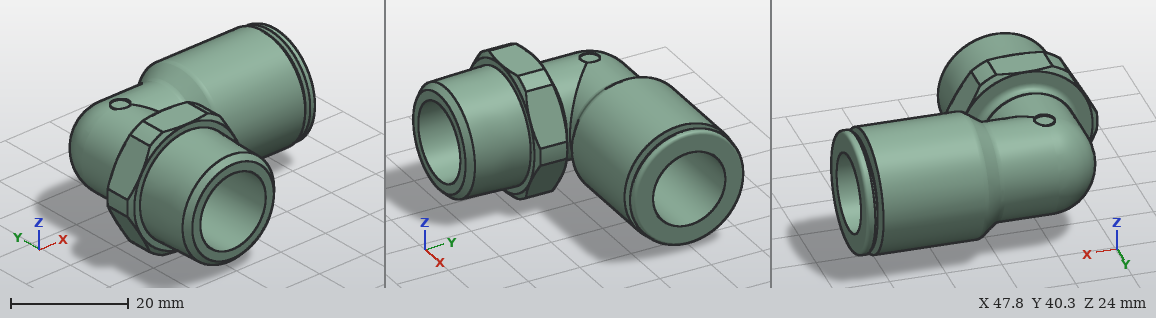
import cadquery as cq
import math


leg_axis = (0, 1, 0)
socket_axis = (1, 0, 0)

elbow_radius = 8.65
elbow_bore_radius = 7.05
elbow_leg_end = 9.25
joint_lead = 0.25
neck_radius = 8.55
neck_straight = 0.45

nut_start = 11.0
nut_length = 6.4
nut_across_flats = 24.0
nut_corner_radius = 13.0
nut_face_radius = 11.95
nut_chamfer_angle = 30.0

thread_base_radius = 10.65
thread_taper = 1 / 32
thread_end = 29.25
thread_chamfer_length = 1.2
thread_tip_radius = 9.2
thread_bore_radius = 7.35

sleeve_radius = 11.05
cone_start = 10.15
cone_end = 13.5
cone_blend_radius = 1.45
sleeve_end = 32.05

collar_neck_radius = 7.55
collar_radius = 10.75
collar_start = 32.85
collar_end = 34.8
collar_edge = 0.55

recess_radius = 1.75
recess_depth = 0.35

nut_end = nut_start + nut_length
nut_chamfer_length = (nut_corner_radius - nut_face_radius) * math.tan(math.radians(nut_chamfer_angle))
joint_end = elbow_leg_end + joint_lead


def make_elbow():
    """Round body: threaded-side leg with a domed end."""
    leg = cq.Workplane("XZ").circle(elbow_radius).extrude(elbow_leg_end)
    dome = cq.Workplane("XY").sphere(elbow_radius)
    return leg.union(dome)


def make_neck():
    """Joint cone, straight neck and the hollow flare that runs into the nut face."""
    flare_start = joint_end + neck_straight
    flare_radius = nut_start - flare_start
    flare_mid = flare_radius * math.sqrt(0.5)
    return (
        cq.Workplane("XY")
        .moveTo(0, -elbow_leg_end)
        .lineTo(elbow_radius, -elbow_leg_end)
        .lineTo(neck_radius, -joint_end)
        .lineTo(neck_radius, -flare_start)
        .threePointArc(
            (neck_radius + flare_radius - flare_mid, -flare_start - flare_mid),
            (neck_radius + flare_radius, -nut_start),
        )
        .lineTo(0, -nut_start)
        .close()
        .revolve(360, (0, 0, 0), leg_axis)
    )


def make_nut():
    """Hexagon with two corners on the X axis, turned down and chamfered on both faces."""
    across_corners = nut_across_flats / math.cos(math.pi / 6)
    hexagon = (
        cq.Workplane("XZ", origin=(0, -nut_start, 0))
        .polygon(6, across_corners)
        .extrude(nut_length)
    )
    turned_envelope = (
        cq.Workplane("XY")
        .polyline([
            (0, -nut_start),
            (nut_face_radius, -nut_start),
            (nut_corner_radius, -nut_start - nut_chamfer_length),
            (nut_corner_radius, -nut_end + nut_chamfer_length),
            (nut_face_radius, -nut_end),
            (0, -nut_end),
        ])
        .close()
        .revolve(360, (0, 0, 0), leg_axis)
    )
    return hexagon.intersect(turned_envelope)


def make_thread():
    """Plain tapered cone with a chamfered tip."""
    chamfer_start = thread_end - thread_chamfer_length
    chamfer_start_radius = thread_base_radius - thread_taper * (chamfer_start - nut_end)
    return (
        cq.Workplane("XY")
        .polyline([
            (0, -nut_end),
            (thread_base_radius, -nut_end),
            (chamfer_start_radius, -chamfer_start),
            (thread_tip_radius, -thread_end),
            (0, -thread_end),
        ])
        .close()
        .revolve(360, (0, 0, 0), leg_axis)
    )


def make_sleeve():
    """Tube socket: a cone widening to a cylinder, with both cone edges blended."""
    sleeve = (
        cq.Workplane("XY")
        .polyline([
            (0, 0),
            (0, elbow_radius),
            (cone_start, elbow_radius),
            (cone_end, sleeve_radius),
            (sleeve_end, sleeve_radius),
            (sleeve_end, 0),
        ])
        .close()
        .revolve(360, (0, 0, 0), socket_axis)
    )
    return sleeve.faces("%CONE").edges("%CIRCLE").fillet(cone_blend_radius)


def make_collar():
    """Release collar: a narrow neck and an edge-broken flange."""
    neck = (
        cq.Workplane("YZ", origin=(sleeve_end, 0, 0))
        .circle(collar_neck_radius)
        .extrude(collar_start - sleeve_end)
    )
    flange = (
        cq.Workplane("YZ", origin=(collar_start, 0, 0))
        .circle(collar_radius)
        .extrude(collar_end - collar_start)
        .faces("<X").edges().chamfer(collar_edge)
        .faces(">X").edges().fillet(collar_edge)
    )
    return neck.union(flange)


def make_bore():
    """Passage through both legs: spherical bend, with a wider bore in the threaded leg."""
    bend = cq.Workplane("XY").sphere(elbow_bore_radius)
    leg_bore = cq.Workplane("XZ").circle(elbow_bore_radius).extrude(joint_end)
    thread_bore = (
        cq.Workplane("XZ", origin=(0, -joint_end, 0))
        .circle(thread_bore_radius)
        .extrude(thread_end - joint_end)
    )
    tube_bore = cq.Workplane("YZ").circle(elbow_bore_radius).extrude(collar_end)
    return leg_bore.union(tube_bore).union(bend).union(thread_bore)


def make_recess():
    """Shallow flat-bottomed disc sunk into the top of the elbow."""
    return (
        cq.Workplane("XY", origin=(0, 0, elbow_radius - recess_depth))
        .circle(recess_radius)
        .extrude(2 * recess_depth)
    )


outside = (
    make_elbow()
    .union(make_sleeve())
    .union(make_collar())
    .union(make_neck())
    .union(make_nut())
    .union(make_thread())
)
result = outside.cut(make_bore()).cut(make_recess())